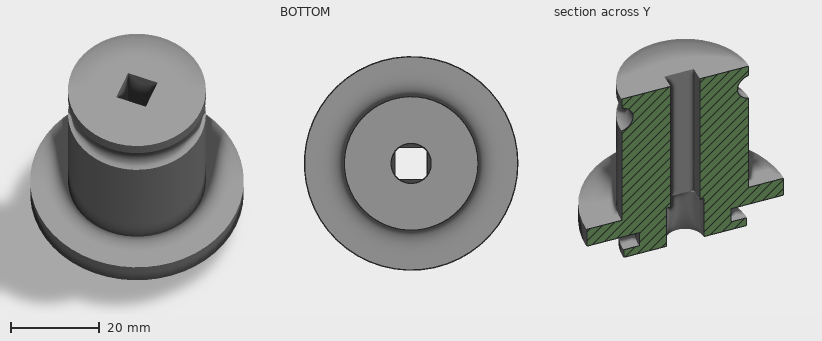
import cadquery as cq

flange_diameter = 48.0
shaft_diameter = 31.0
neck_diameter = 22.45
foot_diameter = 30.0

foot_height = 2.35
neck_height = 3.65
flange_height = 5.0
shaft_height = 35.0

cap_height = 2.8
groove_width = 6.45
groove_depth = 2.75

square_side = 7.15
bore_diameter = 9.0

neck_bottom = foot_height
flange_bottom = neck_bottom + neck_height
shaft_bottom = flange_bottom + flange_height
top = shaft_bottom + shaft_height


def disc(diameter, height, bottom):
    """Solid cylinder on the Z axis, standing on the given level."""
    return cq.Workplane("XY").workplane(offset=bottom).circle(diameter / 2).extrude(height)


def groove_ring():
    """Ring with an arc-shaped inner wall, cut out of the shaft below its cap."""
    shaft_radius = shaft_diameter / 2
    outside_radius = flange_diameter / 2
    groove_top = top - cap_height
    groove_bottom = groove_top - groove_width
    groove_middle = (groove_top + groove_bottom) / 2
    return (
        cq.Workplane("XZ")
        .moveTo(outside_radius, groove_bottom)
        .lineTo(shaft_radius, groove_bottom)
        .threePointArc((shaft_radius - groove_depth, groove_middle), (shaft_radius, groove_top))
        .lineTo(outside_radius, groove_top)
        .close()
        .revolve(360, (0, 0, 0), (0, 1, 0))
    )


def square_hole():
    """Square socket running the full length of the shaft."""
    return (
        cq.Workplane("XY")
        .workplane(offset=shaft_bottom)
        .rect(square_side, square_side)
        .extrude(shaft_height)
    )


body = (
    disc(foot_diameter, foot_height, 0)
    .union(disc(neck_diameter, neck_height, neck_bottom))
    .union(disc(flange_diameter, flange_height, flange_bottom))
    .union(disc(shaft_diameter, shaft_height, shaft_bottom))
)

result = (
    body
    .cut(groove_ring())
    .cut(square_hole())
    .cut(disc(bore_diameter, shaft_bottom, 0))
)